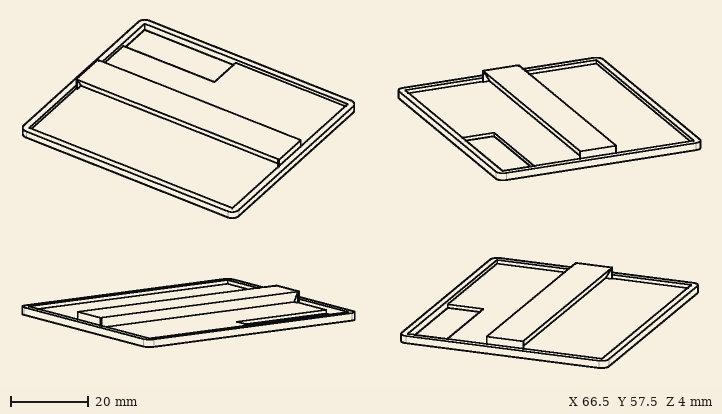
import cadquery as cq

length = 66.5
width = 57.5
tray_height = 2.0
corner_radius = 2.0
wall = 1.8
floor_thickness = 1.0

bar_width = 10.1
bar_top = 4.0
undercut_depth = 1.7
end_plate = 0.4

window_length = 28.2
window_width = 9.9

inner_length = length - 2 * wall
inner_width = width - 2 * wall


def box_on(bottom, size_x, size_y, height):
    """Box centred on the Z axis, standing on the given level."""
    return (
        cq.Workplane("XY")
        .workplane(offset=bottom)
        .rect(size_x, size_y)
        .extrude(height)
    )


tray = box_on(0, length, width, tray_height).edges("|Z").fillet(corner_radius)
recess = box_on(floor_thickness, inner_length, inner_width, tray_height - floor_thickness)

window = box_on(0, window_length, window_width, floor_thickness).translate(
    ((window_length - inner_length) / 2, (inner_width - window_width) / 2, 0)
)

bar_height = bar_top - floor_thickness
bar = box_on(floor_thickness, inner_length, bar_width, bar_height)

undercut_length = inner_length - 2 * end_plate
undercut = (
    cq.Workplane("YZ")
    .polyline([
        (-bar_width / 2, bar_top),
        (-bar_width / 2, floor_thickness),
        (-bar_width / 2 + undercut_depth, floor_thickness),
    ])
    .close()
    .extrude(undercut_length / 2, both=True)
)
bar = bar.cut(undercut).cut(undercut.mirror("XZ"))

result = tray.cut(recess).cut(window).union(bar)